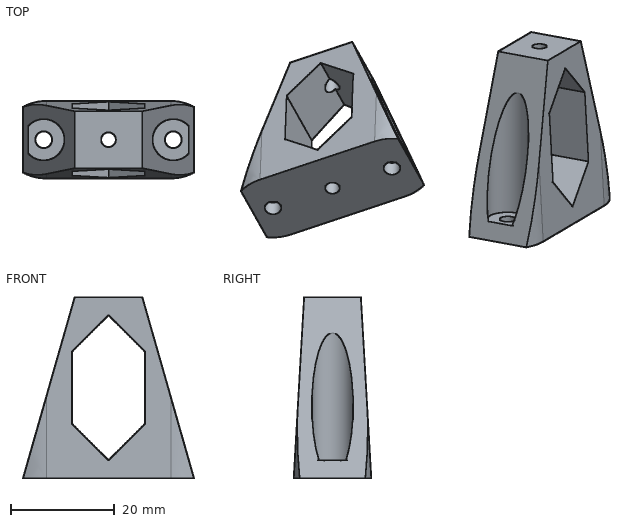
import cadquery as cq
import math

height = 35.0
base_length = 33.05
base_depth = 15.0
top_length = 13.05
top_depth = 11.0

flat_half_length = 12.05
corner_radius = 9.1

window_width = 14.0
window_bottom = 3.5
window_top = 31.5

center_hole_diameter = 2.8
side_hole_diameter = 3.2
side_hole_offset = 12.5
pocket_diameter = 7.98
pocket_floor = 3.5


def rounded_outline(workplane, depth):
    """Draw a plan outline whose broad sides curve inward near both ends."""
    end_x = base_length / 2
    half_depth = depth / 2
    run = end_x - flat_half_length

    def arc_y(distance):
        return half_depth - corner_radius + math.sqrt(corner_radius**2 - distance**2)

    end_y = arc_y(run)
    middle_x = flat_half_length + run / 2
    middle_y = arc_y(run / 2)
    return (
        workplane.moveTo(-flat_half_length, -half_depth)
        .lineTo(flat_half_length, -half_depth)
        .threePointArc((middle_x, -middle_y), (end_x, -end_y))
        .lineTo(end_x, end_y)
        .threePointArc((middle_x, middle_y), (flat_half_length, half_depth))
        .lineTo(-flat_half_length, half_depth)
        .threePointArc((-middle_x, middle_y), (-end_x, end_y))
        .lineTo(-end_x, -end_y)
        .threePointArc((-middle_x, -middle_y), (-flat_half_length, -half_depth))
        .close()
    )


def extrude_across_depth(points):
    """Extrude an XZ polygon through the full depth of the part."""
    return cq.Workplane("XZ").polyline(points).close().extrude(base_depth / 2, both=True)


def make_body():
    """Taper the rounded plan in Y, then slope its two ends in X."""
    base = rounded_outline(cq.Workplane("XY"), base_depth)
    tapered_block = rounded_outline(base.workplane(offset=height), top_depth).loft(ruled=True)
    trapezoid = extrude_across_depth([
        (-base_length / 2, 0),
        (base_length / 2, 0),
        (top_length / 2, height),
        (-top_length / 2, height),
    ])
    return tapered_block.intersect(trapezoid)


def make_window():
    """Upright hexagon with 45 degree edges meeting at the top and bottom points."""
    half_width = window_width / 2
    lower_shoulder = window_bottom + half_width
    upper_shoulder = window_top - half_width
    return extrude_across_depth([
        (0, window_bottom),
        (half_width, lower_shoulder),
        (half_width, upper_shoulder),
        (0, window_top),
        (-half_width, upper_shoulder),
        (-half_width, lower_shoulder),
    ])


def vertical_cylinder(x, diameter, bottom=0.0):
    """Cylinder from the given height up to the top of the part."""
    return (
        cq.Workplane("XY", origin=(x, 0, bottom))
        .circle(diameter / 2)
        .extrude(height - bottom)
    )


result = make_body().cut(make_window())
result = result.cut(vertical_cylinder(0, center_hole_diameter))

for x in (-side_hole_offset, side_hole_offset):
    result = result.cut(vertical_cylinder(x, side_hole_diameter))
    result = result.cut(vertical_cylinder(x, pocket_diameter, pocket_floor))